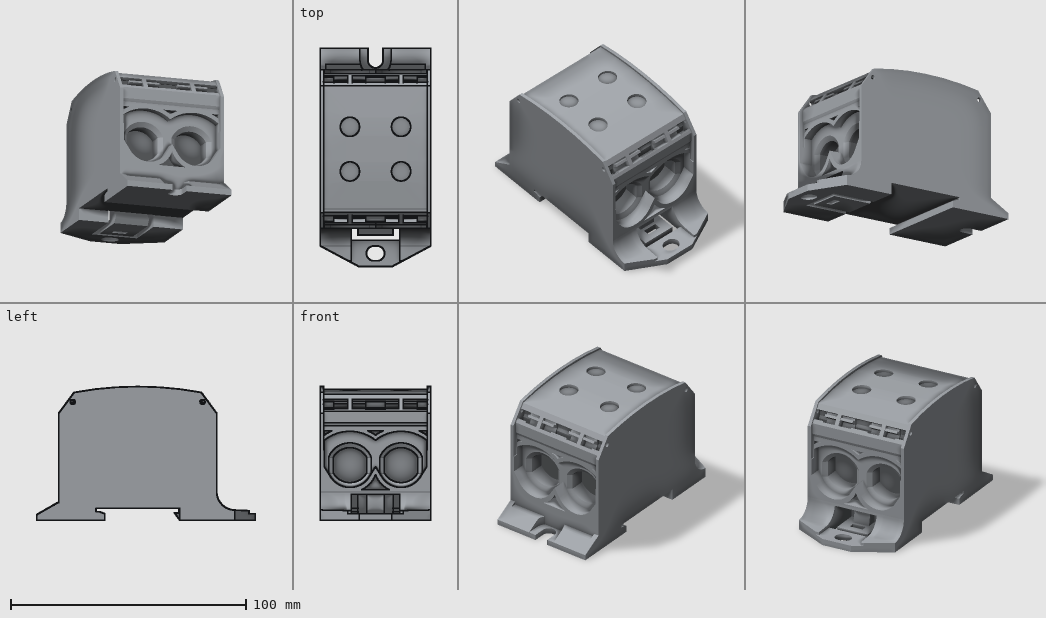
import cadquery as cq
import math

width = 47.0
half_width = width / 2
half_depth = 33.7
height = 57.0
cheek_thickness = 1.5
core_half_width = half_width - cheek_thickness

base_top = 12.3
front_end = -50.0
rear_end = 42.95
rear_foot_edge = 2.5
rear_foot_top = 7.8
rail_ceiling = 5.1
rail_front = -17.9
rail_rear = 17.7
lip_end = 13.9
lip_ramp_end = 16.2
lip_low = 2.9
lip_high = 3.7
ear_start = -41.2
pad_high = 4.5
pad_low = 4.2
pad_end = -47.4
plate_top = 2.9
ear_tip_half_width = 7.0

well_half_width = 10.2
well_front = -38.7
well_back = -17.5
well_top = 11.2
bolt_slot_y = -44.35
bolt_slot_length = 7.6
bolt_slot_width = 6.2

u_slot_radius = 3.2
u_slot_y = 37.7
washer_radius = 6.6
ledge_half_width = 21.2
ledge_end = 36.2
ledge_slope = (rear_foot_top - rear_foot_edge) / (rear_end - half_depth)
ledge_top = rear_foot_edge + ledge_slope * (rear_end - ledge_end)

cheek_shoulder = 45.6
cheek_corner_y = 27.1
cheek_corner_z = 54.5
pin_hole_y = 27.6
pin_hole_z = 50.4
pin_hole_radius = 1.0

core_apex = 56.0
roof_front_y = -25.3
roof_front_z = 53.9
slope_top_y = 26.9
slope_top_z = 53.7
brow_y = 32.1
slope_low_z = 46.4
brow_low_z = 41.6
upper_web_y = 31.5
upper_web_top = 40.3
lower_web_top = 30.1

pole_pitch = 21.8
pole_x = [-pole_pitch / 2, pole_pitch / 2]
entry_z = 23.5
recess_back = 27.6
recess_side_z = 34.1
recess_crown_z = 37.9
recess_low_z = 22.8
recess_foot_half_width = 8.3
recess_foot_z = 18.7
mouth_half_width = 9.0
mouth_rise = 9.5
bore_half_width = 7.1
bore_rise = 7.4
entry_half_straight = 3.4
funnel_depth = 1.5
bore_depth = 6.7
upper_rim = 1.8
pocket_ceiling = 38.1
pocket_floor = 13.0
lower_pocket_radius = 11.6

screw_y = 9.5
screw_radius = 4.1
screw_floor = 54.3

rib_half_width = 0.9
window_high = 51.6
window_low = 47.6
window_depth = 0.4
slot_overshoot = 0.9
bar_high = 50.7
bar_low = 49.7
upper_slit_depth = 1.8
lower_slit_depth = 3.6
seat_width = 4.1
seat_roof_z = 50.8
seat_back_y = 25.8
seat_back_low_z = 47.8
seat_front_z = 48.3
seat_step_y = 26.7
seat_step_z = 46.6
seat_front_y = 30.6
seat_floor_z = 43.7

latch_half_width = 7.5
latch_front = -36.5
latch_block_front = -24.2
hook_tip = -15.6
hook_top = 3.3
rib_width = 7.6
rib_foot = -29.0
rib_head = -27.4
tool_slot_width = 6.3
tool_slot_front = -33.3
tool_slot_back = -30.4


def box(x0, x1, y0, y1, z0, z1):
    """Box between two corners."""
    return cq.Workplane("XY").box(x1 - x0, y1 - y0, z1 - z0, centered=False).translate((x0, y0, z0))


def across(profile, x0, x1):
    """Extrude a closed Y-Z profile from x0 to x1."""
    return profile.extrude(x1 - x0).translate((x0, 0, 0))


def side_polygon(points, x0, x1):
    """Prism along X with a polygonal Y-Z section."""
    return across(cq.Workplane("YZ").polyline(points).close(), x0, x1)


def both_ends(tool):
    """The tool at the front together with its mirror image at the rear."""
    return tool.add(tool.mirror("XZ").vals()).combine()



def make_base():
    sweep_height = base_top - pad_high
    sweep_run = -half_depth - ear_start
    bend = math.sqrt(0.5)
    profile = (
        cq.Workplane("YZ")
        .moveTo(-half_depth, base_top)
        .threePointArc(
            (ear_start + sweep_run * bend, base_top - sweep_height * bend),
            (ear_start, pad_high),
        )
        .lineTo(pad_end, pad_low)
        .lineTo(pad_end, plate_top)
        .lineTo(front_end, plate_top)
        .lineTo(front_end, 0)
        .lineTo(rail_front, 0)
        .lineTo(rail_front, rail_ceiling)
        .lineTo(rail_rear, rail_ceiling)
        .lineTo(rail_rear, lip_high)
        .lineTo(lip_ramp_end, lip_high)
        .lineTo(lip_end, lip_low)
        .lineTo(lip_end, 0)
        .lineTo(rear_end, 0)
        .lineTo(rear_end, rear_foot_edge)
        .lineTo(half_depth, rear_foot_top)
        .lineTo(half_depth, base_top)
        .close()
    )
    base = across(profile, -half_width, half_width)
    for side in (-1, 1):
        corner = [
            (side * half_width, ear_start),
            (side * half_width, front_end),
            (side * ear_tip_half_width, front_end),
        ]
        base = base.cut(cq.Workplane("XY").polyline(corner).close().extrude(base_top))
    return base


def cut_front_mount(housing):
    """Sunken mounting plate with its bolt slot, and the well that holds the latch."""
    sunken = box(-well_half_width, well_half_width, front_end, well_front, plate_top, well_top)
    well = box(-well_half_width, well_half_width, well_front, well_back, 0, well_top)
    bolt_slot = (
        cq.Workplane("XY")
        .center(0, bolt_slot_y)
        .slot2D(bolt_slot_length, bolt_slot_width)
        .extrude(plate_top)
    )
    return housing.cut(sunken).cut(well).cut(bolt_slot)


def u_shape(radius, z0, z1):
    """Slot open to the rear with a round inner end."""
    round_end = cq.Workplane("XY", origin=(0, u_slot_y, z0)).circle(radius).extrude(z1 - z0)
    return round_end.union(box(-radius, radius, u_slot_y, rear_end, z0, z1))


def cut_rear_mount(housing):
    ledge = box(-ledge_half_width, ledge_half_width, half_depth, ledge_end, ledge_top, rear_foot_top)
    outside = box(-half_width, half_width, half_depth, rear_end, 0, rear_foot_top)
    seat = u_shape(washer_radius, rear_foot_edge, rear_foot_top).intersect(outside)
    return housing.cut(ledge).cut(seat).cut(u_shape(u_slot_radius, 0, rear_foot_top))



def make_cheek(x0):
    profile = (
        cq.Workplane("YZ")
        .moveTo(-half_depth, base_top)
        .lineTo(-half_depth, cheek_shoulder)
        .lineTo(-cheek_corner_y, cheek_corner_z)
        .threePointArc((0, height), (cheek_corner_y, cheek_corner_z))
        .lineTo(half_depth, cheek_shoulder)
        .lineTo(half_depth, base_top)
        .close()
    )
    pin_holes = (
        cq.Workplane("YZ")
        .pushPoints([(-pin_hole_y, pin_hole_z), (pin_hole_y, pin_hole_z)])
        .circle(pin_hole_radius)
    )
    x1 = x0 + cheek_thickness
    return across(profile, x0, x1).cut(across(pin_holes, x0, x1))


def make_core():
    end_steps = [
        (half_depth, base_top),
        (half_depth, lower_web_top),
        (upper_web_y, lower_web_top),
        (upper_web_y, upper_web_top),
        (brow_y, brow_low_z),
        (brow_y, slope_low_z),
        (slope_top_y, slope_top_z),
    ]
    front_steps = [(-y, z) for y, z in end_steps]
    profile = (
        cq.Workplane("YZ")
        .polyline(front_steps)
        .lineTo(roof_front_y, roof_front_z)
        .threePointArc((0, core_apex), end_steps[-1])
    )
    for y, z in reversed(end_steps[:-1]):
        profile = profile.lineTo(y, z)
    return across(profile.close(), -core_half_width, core_half_width)


def cut_screw_recesses(housing):
    spots = [(x, y) for x in pole_x for y in (-screw_y, screw_y)]
    recesses = (
        cq.Workplane("XY", origin=(0, 0, screw_floor))
        .pushPoints(spots)
        .circle(screw_radius)
        .extrude(height - screw_floor)
    )
    return housing.cut(recesses)



def front_plane(x, y):
    """X-Z sketch plane at y, centred on a wire entry; extruding goes towards -Y."""
    return cq.Workplane("XZ", origin=(x, y, entry_z))


def entry_outline(sketch, half_wide, rise):
    """Round opening with flat sides."""
    return (
        sketch.moveTo(-half_wide, -entry_half_straight)
        .lineTo(-half_wide, entry_half_straight)
        .threePointArc((0, rise), (half_wide, entry_half_straight))
        .lineTo(half_wide, -entry_half_straight)
        .threePointArc((0, -rise), (-half_wide, -entry_half_straight))
        .close()
    )


def entry_recess(x):
    """Wide recess: shallow arched crown above, the entry mouth's arc below."""
    half_wide = pole_pitch / 2
    crown_side = recess_side_z - entry_z
    low_side = recess_low_z - entry_z
    foot = recess_foot_z - entry_z
    return (
        front_plane(x, -recess_back)
        .moveTo(-half_wide, low_side)
        .lineTo(-half_wide, crown_side)
        .threePointArc((0, recess_crown_z - entry_z), (half_wide, crown_side))
        .lineTo(half_wide, low_side)
        .lineTo(recess_foot_half_width, foot)
        .threePointArc((0, -mouth_rise), (-recess_foot_half_width, foot))
        .close()
        .extrude(half_depth - recess_back)
    )


def wire_bore(x):
    """Funnel narrowing from the recess back into a blind bore."""
    bore_start = -recess_back + funnel_depth
    mouth = entry_outline(front_plane(x, -recess_back), mouth_half_width, mouth_rise).wires().val()
    throat = entry_outline(front_plane(x, bore_start), bore_half_width, bore_rise).wires().val()
    funnel = cq.Workplane(cq.Solid.makeLoft([mouth, throat], True))
    bore = entry_outline(front_plane(x, bore_start + bore_depth), bore_half_width, bore_rise)
    return funnel.union(bore.extrude(bore_depth))


def rim_pockets():
    """Three-cornered pockets left between the round rims and a level edge."""
    half_rise = pole_pitch / 2
    crown_rise = recess_crown_z - recess_side_z
    crown_radius = (half_rise**2 + crown_rise**2) / (2 * crown_rise)
    crown_z = recess_crown_z - crown_radius
    upper = box(-pole_pitch, pole_pitch, -half_depth, -recess_back, recess_side_z, pocket_ceiling)
    lower = box(-half_rise, half_rise, -half_depth, -recess_back, pocket_floor, entry_z)
    for x in pole_x:
        upper_disc = cq.Workplane("XZ", origin=(x, 0, crown_z)).circle(crown_radius + upper_rim)
        lower_disc = cq.Workplane("XZ", origin=(x, 0, entry_z)).circle(lower_pocket_radius)
        upper = upper.cut(upper_disc.extrude(half_depth))
        lower = lower.cut(lower_disc.extrude(half_depth))
    return upper, lower


def cut_wire_entries(housing):
    for x in pole_x:
        housing = housing.cut(both_ends(entry_recess(x)))
        housing = housing.cut(both_ends(wire_bore(x)))
    for pocket in rim_pockets():
        housing = housing.cut(both_ends(pocket))
    return housing



slope_angle = math.atan2(brow_y - slope_top_y, slope_top_z - slope_low_z)


def slope_point(z, depth):
    """Point at a depth square below the front sloping face, measured from its height z."""
    y = -slope_top_y - (slope_top_z - z) * math.tan(slope_angle)
    return (y + depth * math.cos(slope_angle), z - depth * math.sin(slope_angle))


def slope_slot(x0, x1, z_high, z_low, depth):
    """Slot sunk square into the sloping face."""
    points = [
        slope_point(z_high, -slot_overshoot),
        slope_point(z_high, depth),
        slope_point(z_low, depth),
        slope_point(z_low, -slot_overshoot),
    ]
    return side_polygon(points, x0, x1)


def marker_seat(x0, x1):
    """Deep pocket with an upright front, a level floor and a sloping step at the back."""
    points = [
        slope_point(window_high, 0),
        slope_point(window_high, upper_slit_depth),
        (-seat_back_y, seat_roof_z),
        (-seat_back_y, seat_back_low_z),
        (-seat_step_y, seat_step_z),
        (-seat_step_y, seat_floor_z),
        (-seat_front_y, seat_floor_z),
        (-seat_front_y, seat_front_z),
    ]
    return side_polygon(points, x0, x1)


def cut_marker_windows(housing):
    for x in pole_x:
        for side in (-1, 1):
            near = x + side * rib_half_width
            far = x + side * pole_pitch / 2
            seat_edge = far - side * seat_width
            if abs(far) > pole_pitch / 2:
                far = side * core_half_width
            x0, x1 = sorted((near, far))
            slit_x0, slit_x1 = sorted((near, seat_edge))
            seat_x0, seat_x1 = sorted((seat_edge, far))
            tools = [
                slope_slot(x0, x1, window_high, window_low, window_depth),
                slope_slot(slit_x0, slit_x1, window_high, bar_high, upper_slit_depth),
                slope_slot(slit_x0, slit_x1, bar_low, window_low, lower_slit_depth),
                marker_seat(seat_x0, seat_x1),
            ]
            for tool in tools:
                housing = housing.cut(both_ends(tool))
    return housing


def make_housing():
    housing = make_base().union(make_core())
    for x0 in (-half_width, core_half_width):
        housing = housing.union(make_cheek(x0))
    housing = cut_front_mount(housing)
    housing = cut_rear_mount(housing)
    housing = cut_screw_recesses(housing)
    housing = cut_wire_entries(housing)
    return cut_marker_windows(housing)



def make_latch():
    """Sliding rail latch: tab, upright block and hook, with a slanted rib and a tool slot."""
    outline = [
        (latch_front, 0),
        (latch_front, plate_top),
        (latch_block_front, plate_top),
        (latch_block_front, well_top),
        (well_back, well_top),
        (well_back, hook_top),
        (hook_tip, hook_top),
        (rail_front, 0),
    ]
    latch = side_polygon(outline, -latch_half_width, latch_half_width)
    rib = [
        (rib_foot, plate_top),
        (rib_head, well_top),
        (latch_block_front, well_top),
        (latch_block_front, plate_top),
    ]
    latch = latch.union(side_polygon(rib, -rib_width / 2, rib_width / 2))
    half_slot = tool_slot_width / 2
    return latch.cut(box(-half_slot, half_slot, tool_slot_front, tool_slot_back, 0, plate_top))


housing = make_housing()
latch = make_latch()
result = cq.Compound.makeCompound([*housing.solids().vals(), *latch.solids().vals()])